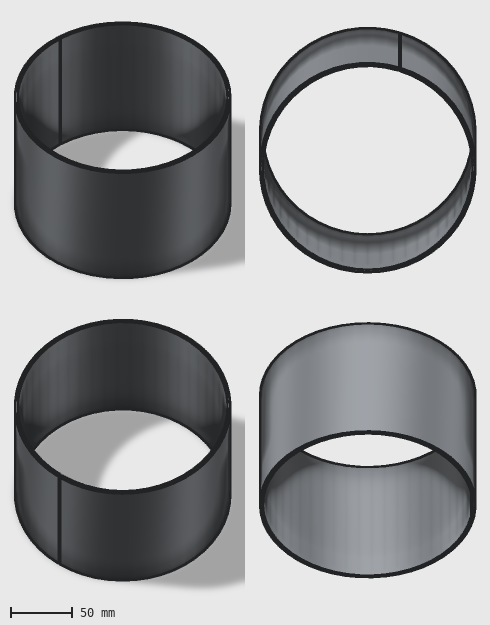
import cadquery as cq

outer_diameter = 175.0
wall_thickness = 2.5
height = 120.0
outer_chamfer = 0.5
inner_chamfer = 0.2

slit_angle = 1.0

outer_radius = outer_diameter / 2
inner_radius = outer_radius - wall_thickness
sweep_angle = 360.0 - slit_angle


def make_wall_section():
    """Cross-section of the wall on the -X side, with chamfered corners at both rims."""
    return (
        cq.Workplane("XZ")
        .moveTo(-outer_radius, outer_chamfer)
        .lineTo(-outer_radius + outer_chamfer, 0)
        .lineTo(-inner_radius - inner_chamfer, 0)
        .lineTo(-inner_radius, inner_chamfer)
        .lineTo(-inner_radius, height - inner_chamfer)
        .lineTo(-inner_radius - inner_chamfer, height)
        .lineTo(-outer_radius + outer_chamfer, height)
        .lineTo(-outer_radius, height - outer_chamfer)
        .close()
    )


def make_sleeve():
    """Sweep the wall section around Z, stopping short of a full turn to leave the slit."""
    axis_start = (0, 0, 0)
    axis_end = (0, 1, 0)
    return make_wall_section().revolve(sweep_angle, axis_start, axis_end)


result = make_sleeve()